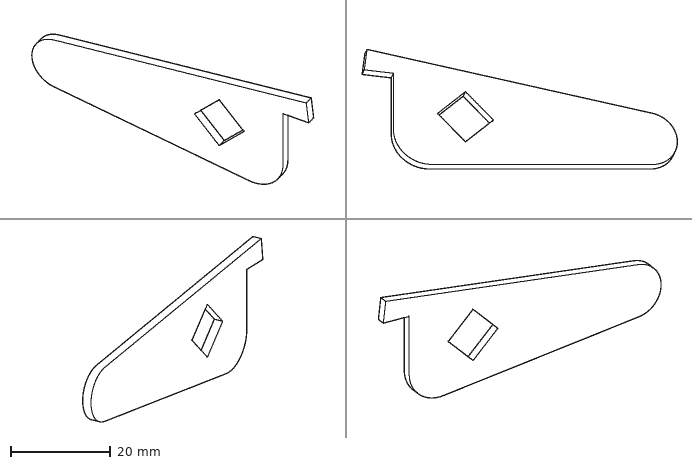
import cadquery as cq
import math

thickness = 2.0
nose_radius = 6.0
top_edge_angle = math.radians(6.7)
tip_x = 59.0
shelf_z = 8.05
wall_x = 52.95
heel_radius = 7.0
heel_bottom_z = -12.0
hole_x = 38.0
hole_diagonal = 11.6

heel_x = wall_x - heel_radius
heel_z = heel_bottom_z + heel_radius


def point_on_circle(center_x, center_z, radius, angle):
    return (center_x + radius * math.cos(angle), center_z + radius * math.sin(angle))


top_normal = top_edge_angle + math.pi / 2
nose_top = point_on_circle(0, 0, nose_radius, top_normal)
hook_width = nose_radius - tip_x * math.cos(top_normal) - shelf_z * math.sin(top_normal)
hook_top = point_on_circle(tip_x, shelf_z, hook_width, top_normal)

center_distance = math.hypot(heel_x, heel_z)
lower_normal = (
    math.atan2(heel_z, heel_x)
    - math.acos((nose_radius - heel_radius) / center_distance)
)
nose_bottom = point_on_circle(0, 0, nose_radius, lower_normal)
heel_start = point_on_circle(heel_x, heel_z, heel_radius, lower_normal)
heel_middle = point_on_circle(heel_x, heel_z, heel_radius, lower_normal / 2)

plate = (
    cq.Workplane("XZ")
    .moveTo(*nose_top)
    .lineTo(*hook_top)
    .lineTo(tip_x, shelf_z)
    .lineTo(wall_x, shelf_z)
    .lineTo(wall_x, heel_z)
    .threePointArc(heel_middle, heel_start)
    .lineTo(*nose_bottom)
    .threePointArc((-nose_radius, 0), nose_top)
    .close()
    .extrude(thickness)
)

square_hole = (
    cq.Workplane("XZ")
    .center(hole_x, 0)
    .polygon(4, hole_diagonal)
    .extrude(thickness)
)

result = plate.cut(square_hole)